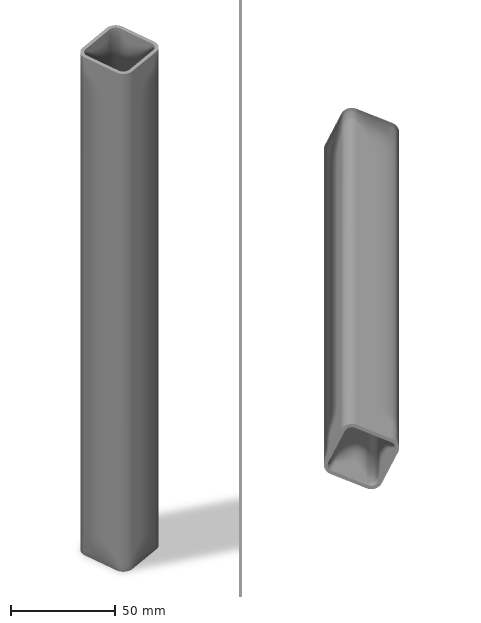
import cadquery as cq

length = 304.8
side = 30.0
wall = 1.8
outer_corner_radius = 5.5
inner_corner_radius = outer_corner_radius - wall
bore_side = side - 2 * wall


def rounded_square_bar(width, corner_radius):
    """Square bar along Z, centred on the origin, with rounded long edges."""
    return cq.Workplane("XY").box(width, width, length).edges("|Z").fillet(corner_radius)


tube_body = rounded_square_bar(side, outer_corner_radius)
bore = rounded_square_bar(bore_side, inner_corner_radius)

result = tube_body.cut(bore)